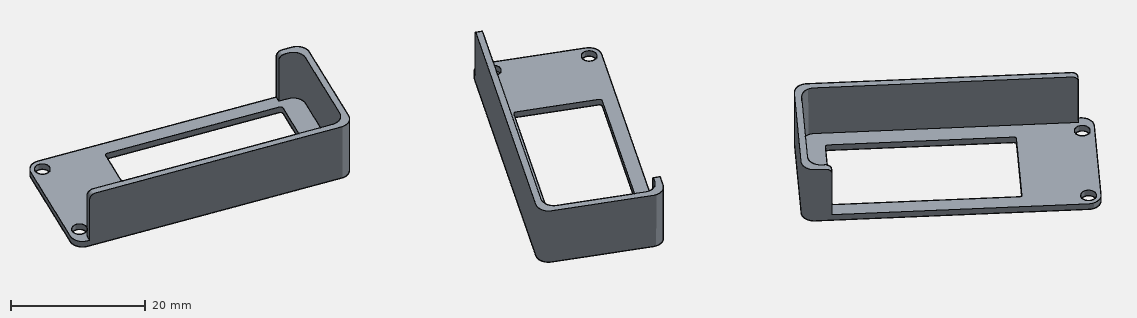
import cadquery as cq

width = 19.5
length = 44.8
height = 10.15

wall = 1.05
floor = 1.1
corner_radius = 1.95
wall_tip_radius = 1.0
left_wall_reach = 4.52
right_wall_setback = 2.35

window_width = 13.5
window_length = 28.5
window_left_margin = 2.3
window_back_margin = 4.52
window_corner_radius = 0.4

hole_diameter = 2.35
hole_front_margin = 1.9
left_hole_margin = 1.93
right_hole_margin = 2.9

left = -width / 2
right = width / 2
front = -length / 2
back = length / 2


def rounded_block(block_width, block_length, block_height, radius):
    """Block standing on Z = 0 with rounded vertical edges."""
    block = cq.Workplane("XY").rect(block_width, block_length).extrude(block_height)
    return block.edges("|Z").fillet(radius)


def wall_side_mask(x_start, y_end, mask_width):
    """Side region kept for a wall, with its upper front corner rounded."""
    mask = cq.Workplane("XY").box(mask_width, back - y_end, height, centered=False)
    mask = mask.translate((x_start, y_end, 0))
    return mask.edges("|X and <Y and >Z").fillet(wall_tip_radius)


def perimeter_wall():
    """Wall around the back, with a short left arm and a long right arm."""
    outer = rounded_block(width, length, height, corner_radius)
    cavity = rounded_block(width - 2 * wall, length, height, corner_radius)
    cavity = cavity.translate((0, -wall, 0))
    cavity = cavity.union(cavity.translate((0, -2 * corner_radius, 0)))
    ring = outer.cut(cavity)
    left_mask = wall_side_mask(left, back - left_wall_reach, width / 2)
    right_mask = wall_side_mask(0, front + right_wall_setback, width / 2)
    return ring.intersect(left_mask.union(right_mask))


def floor_plate():
    """Floor with the window and the two screw holes."""
    plate = rounded_block(width, length, floor, corner_radius)
    window = rounded_block(window_width, window_length, floor, window_corner_radius)
    window_x = left + window_left_margin + window_width / 2
    window_y = back - window_back_margin - window_length / 2
    plate = plate.cut(window.translate((window_x, window_y, 0)))
    hole_y = front + hole_front_margin
    hole_centers = [(left + left_hole_margin, hole_y), (right - right_hole_margin, hole_y)]
    holes = cq.Workplane("XY").pushPoints(hole_centers).circle(hole_diameter / 2).extrude(floor)
    return plate.cut(holes)


result = floor_plate().union(perimeter_wall())